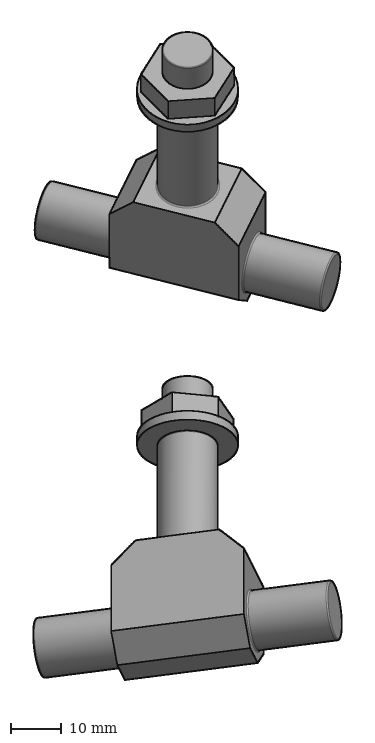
import cadquery as cq
import math

BLOCK_LENGTH = 27.0
BLOCK_DEPTH = 16.0
BLOCK_HEIGHT = 25.0
BLOCK_CHAMFER = 5.0

SHAFT_DIAMETER = 12.0
OVERALL_LENGTH = 60.0
STUB_AXIS_HEIGHT = BLOCK_DEPTH / 2
ROOT_FILLET = 0.3
END_FILLET = 0.3

WASHER_DIAMETER = 20.0
WASHER_THICKNESS = 2.0
NUT_ACROSS_FLATS = 16.0
NUT_HEIGHT = 5.0
NUT_TURN = 25
STUD_DIAMETER = 10.0
STUD_END_FILLET = 0.2
OVERALL_HEIGHT = 63.0
STUD_PROJECTION = 6.0

NUT_ACROSS_CORNERS = NUT_ACROSS_FLATS / math.cos(math.pi / 6)
NUT_BASE = OVERALL_HEIGHT - STUD_PROJECTION - NUT_HEIGHT
WASHER_BASE = NUT_BASE - WASHER_THICKNESS


def flared_shaft(length):
    """Shaft along +Z with a concave fillet at its root and a rounded far edge."""
    radius = SHAFT_DIAMETER / 2
    fillet_middle = ROOT_FILLET * (1 - 0.5 ** 0.5)
    return (
        cq.Workplane("XZ")
        .lineTo(radius + ROOT_FILLET, 0)
        .threePointArc((radius + fillet_middle, fillet_middle), (radius, ROOT_FILLET))
        .lineTo(radius, length)
        .lineTo(0, length)
        .close()
        .revolve(360, (0, 0, 0), (0, 1, 0))
        .faces(">Z")
        .edges()
        .fillet(END_FILLET)
    )


def make_block():
    """Block chamfered at its two upper ends and along its two lower long edges."""
    block = cq.Workplane("XY").box(BLOCK_LENGTH, BLOCK_DEPTH, BLOCK_HEIGHT, centered=(True, True, False))
    block = block.faces(">Z").edges("|Y").chamfer(BLOCK_CHAMFER)
    return block.faces("<Z").edges("|X").chamfer(BLOCK_CHAMFER)


def make_tee():
    """Block with two opposed stubs, a column and the stud above the column."""
    tee = make_block()
    stub_length = (OVERALL_LENGTH - BLOCK_LENGTH) / 2
    for side in (-1, 1):
        stub = flared_shaft(stub_length).rotate((0, 0, 0), (0, 1, 0), side * 90)
        tee = tee.union(stub.translate((side * BLOCK_LENGTH / 2, 0, STUB_AXIS_HEIGHT)))
    column = flared_shaft(WASHER_BASE - BLOCK_HEIGHT).translate((0, 0, BLOCK_HEIGHT))
    stud = (
        cq.Workplane("XY", origin=(0, 0, WASHER_BASE))
        .circle(STUD_DIAMETER / 2)
        .extrude(OVERALL_HEIGHT - WASHER_BASE)
        .faces(">Z")
        .edges()
        .fillet(STUD_END_FILLET)
    )
    return tee.union(column).union(stud)


def make_washer():
    """Flat washer resting on the column shoulder."""
    return (
        cq.Workplane("XY", origin=(0, 0, WASHER_BASE))
        .circle(WASHER_DIAMETER / 2)
        .circle(STUD_DIAMETER / 2)
        .extrude(WASHER_THICKNESS)
    )


def make_nut():
    """Plain hexagonal nut on the washer, turned about the stud."""
    return (
        cq.Workplane("XY", origin=(0, 0, NUT_BASE))
        .polygon(6, NUT_ACROSS_CORNERS)
        .circle(STUD_DIAMETER / 2)
        .extrude(NUT_HEIGHT)
        .rotate((0, 0, 0), (0, 0, 1), NUT_TURN)
    )


tee = make_tee()
washer = make_washer()
nut = make_nut()

result = cq.Compound.makeCompound([tee.val(), washer.val(), nut.val()])